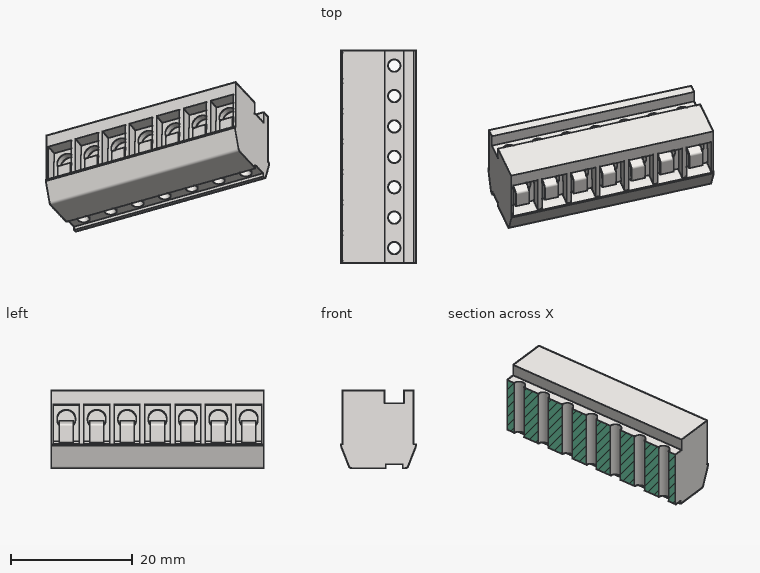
import cadquery as cq
import math

length = 35.0
height = 12.8
overall_width = 12.4
pole_count = 7
pitch = length / pole_count

x_min = -overall_width / 2
x_max = overall_width / 2
front_wall_x = x_min + 0.25
rear_wall_x = x_max - 0.42
lip_top_z = 3.95
lip_bottom_z = 3.68
taper_run = 1.45
base_edge_radius = 0.52

screw_x = 2.6
screw_hole_diameter = 2.0
channel_width = 3.2
channel_depth = 2.1
relief_width = 2.73
relief_depth = 0.63

pocket_width = 4.25
pocket_top_z = 10.5
ceiling_drop = 0.1
pocket_floor_z = 4.02
floor_slope_length = 1.0
pocket_depth = 1.8
back_wall_tilt = 3.0
back_wall_bottom_z = 4.48
undercut_depth = 0.7

wire_hole_diameter = 3.05
wire_hole_depth = 1.22
wire_hole_z = 8.12

tongue_width = 2.3
tongue_depth = 1.45
tongue_bottom_z = 4.2
tongue_shoulder_z = 7.28
tongue_top_slope = 16.0
tongue_length = 2.1
tongue_top_radius = 0.42
tongue_bottom_radius = 0.35

back_wall_x = front_wall_x + pocket_depth
tilt_slope = math.tan(math.radians(back_wall_tilt))


def back_wall_at(z):
    """X position of the tilted back wall of a pocket at height z."""
    return back_wall_x + (z - back_wall_bottom_z) * tilt_slope


def extrude_centred(points, width):
    """Prism of an X-Z outline, centred on Y = 0."""
    return cq.Workplane("XZ").polyline(points).close().extrude(width / 2, both=True)


def make_groove(width, depth, bottom_z):
    """Full-length rectangular groove cutter along the screw row."""
    groove = cq.Workplane("XY").box(width, length, depth, centered=(True, True, False))
    return groove.translate((screw_x, 0, bottom_z))


def make_housing():
    outline = [
        (x_min + taper_run, 0),
        (x_max - taper_run, 0),
        (x_max, lip_bottom_z),
        (x_max, lip_top_z),
        (rear_wall_x, lip_top_z),
        (rear_wall_x, height),
        (front_wall_x, height),
        (front_wall_x, lip_top_z),
        (x_min, lip_top_z),
        (x_min, lip_bottom_z),
    ]
    housing = extrude_centred(outline, length)
    housing = housing.edges("|Y and <Z").fillet(base_edge_radius)
    channel = make_groove(channel_width, channel_depth, height - channel_depth)
    relief = make_groove(relief_width, relief_depth, 0)
    return housing.cut(channel).cut(relief)


def make_screw_hole():
    return cq.Workplane("XY").center(screw_x, 0).circle(screw_hole_diameter / 2).extrude(height)


def make_pocket():
    ceiling_back_z = pocket_top_z - ceiling_drop
    outline = [
        (front_wall_x, lip_top_z),
        (front_wall_x + floor_slope_length, pocket_floor_z),
        (back_wall_x + undercut_depth, pocket_floor_z),
        (back_wall_x + undercut_depth, back_wall_bottom_z),
        (back_wall_x, back_wall_bottom_z),
        (back_wall_at(ceiling_back_z), ceiling_back_z),
        (front_wall_x, pocket_top_z),
    ]
    return extrude_centred(outline, pocket_width)


def make_wire_hole():
    tilt = math.radians(back_wall_tilt)
    mouth = cq.Plane(
        origin=(back_wall_at(wire_hole_z), 0, wire_hole_z),
        xDir=(0, 1, 0),
        normal=(math.cos(tilt), 0, -math.sin(tilt)),
    )
    hole = cq.Workplane(mouth).circle(wire_hole_diameter / 2)
    return hole.extrude(wire_hole_depth)


def make_tongue():
    front_x = front_wall_x + tongue_depth
    back_x = front_x + tongue_length
    rise = tongue_length * math.tan(math.radians(tongue_top_slope))
    outline = [
        (front_x, tongue_bottom_z),
        (back_x, tongue_bottom_z),
        (back_x, tongue_shoulder_z + rise),
        (front_x, tongue_shoulder_z),
    ]
    tongue = extrude_centred(outline, tongue_width)
    tongue = tongue.faces("<X").edges(">Z").fillet(tongue_top_radius)
    return tongue.faces("<X").edges("<Z").fillet(tongue_bottom_radius)


screw_hole = make_screw_hole()
wire_entry = make_pocket().union(make_wire_hole())
tongue = make_tongue()

result = make_housing()
for pole in range(pole_count):
    pole_offset = (0, (pole - (pole_count - 1) / 2) * pitch, 0)
    result = result.cut(screw_hole.translate(pole_offset))
    result = result.cut(wire_entry.translate(pole_offset))
    result = result.union(tongue.translate(pole_offset))